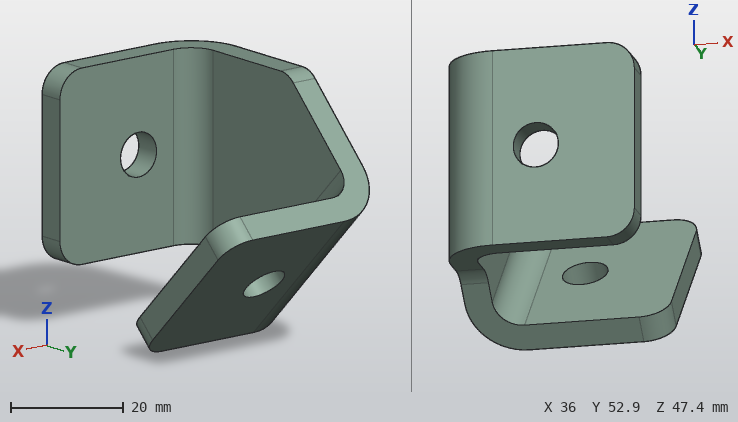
import cadquery as cq
import math

overall_length = 52.9
plate_width = 36.0
thickness = 5.05
inner_bend_radius = thickness
outer_bend_radius = inner_bend_radius + thickness
corner_radius = 5.05
hole_diameter = 8.2
turn_angle = 45.0

turn = math.radians(turn_angle)
half_width = plate_width / 2
arm_length = (overall_length - half_width * math.sin(turn)) / (1 + math.cos(turn))
straight_length = arm_length - outer_bend_radius


def make_flange():
    """Bend and flange of an arm along -Y, with the web's turning point at Y = Z = 0."""
    outer_y = -arm_length
    inner_y = outer_y + thickness
    bend_y = outer_y + outer_bend_radius
    diagonal = math.sqrt(0.5)
    outer_mid = outer_bend_radius * (1 - diagonal)
    inner_mid = outer_bend_radius - inner_bend_radius * diagonal
    flange = (
        cq.Workplane("XY", origin=(0, 0, -half_width))
        .moveTo(0, bend_y)
        .threePointArc((outer_mid, outer_y + outer_mid), (outer_bend_radius, outer_y))
        .lineTo(plate_width, outer_y)
        .lineTo(plate_width, inner_y)
        .lineTo(outer_bend_radius, inner_y)
        .threePointArc((inner_mid, outer_y + inner_mid), (thickness, bend_y))
        .close()
        .extrude(plate_width)
        .edges("|Y and >X")
        .fillet(corner_radius)
    )
    hole = (
        cq.Workplane("XZ", origin=(half_width, inner_y, 0))
        .circle(hole_diameter / 2)
        .extrude(thickness)
    )
    return flange.cut(hole)


def turned(y, z):
    """Point (y, z) rotated downward by the web's turn angle."""
    return (
        y * math.cos(turn) + z * math.sin(turn),
        z * math.cos(turn) - y * math.sin(turn),
    )


def make_web():
    """Flat web between the two bends, rounded where its edges turn."""
    turn_offset = half_width * math.tan(turn / 2)
    upper_turn = (turn_offset, half_width)
    lower_turn = (-turn_offset, -half_width)
    web = (
        cq.Workplane("YZ")
        .polyline([
            (-straight_length, half_width),
            upper_turn,
            turned(straight_length, half_width),
            turned(straight_length, -half_width),
            lower_turn,
            (-straight_length, -half_width),
        ])
        .close()
        .extrude(thickness)
    )
    for y, z in (upper_turn, lower_turn):
        turn_edge = cq.selectors.NearestToPointSelector((thickness / 2, y, z))
        web = web.edges(turn_edge).fillet(corner_radius)
    return web


front_flange = make_flange()
rear_flange = make_flange().mirror("XZ").rotate((0, 0, 0), (1, 0, 0), -turn_angle)
result = make_web().union(front_flange).union(rear_flange)